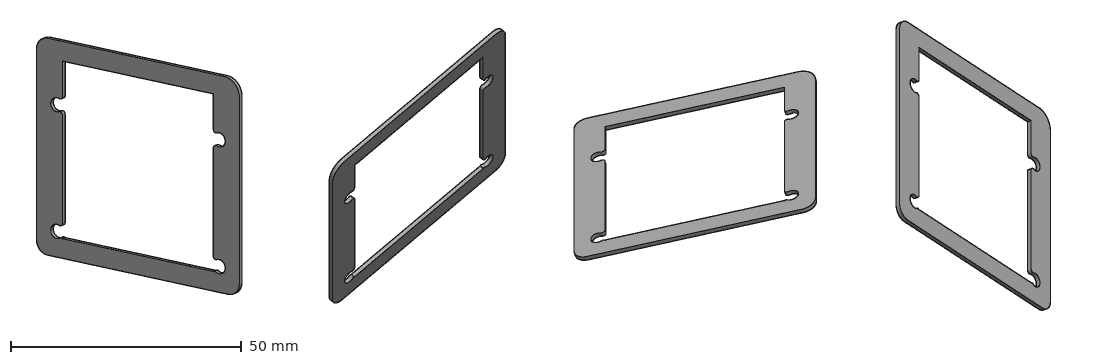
import cadquery as cq
import math

width = 54.3
height = 49.3
thickness = 1.0
corner_radius = 3.0
large_corner_radius = 4.0

window_size = 40.3
window_half = window_size / 2

notch_radius = 1.6
notch_x = 21.72
upper_notch_z = 10.0
lower_notch_z = -18.8

wall_lip_radius = 0.7
floor_lip_radius = 0.4


def y_prism(outline):
    """Extrude a closed XZ outline through the full thickness, centred on Y."""
    return outline.extrude(thickness / 2, both=True)


def make_plate():
    plate = y_prism(cq.Workplane("XZ").rect(width, height))
    plate = plate.edges("|Y").edges("<X or (>X and <Z)").fillet(corner_radius)
    top_right = cq.selectors.NearestToPointSelector((width / 2, 0, height / 2))
    return plate.edges("|Y").edges(top_right).fillet(large_corner_radius)


def make_window():
    return y_prism(cq.Workplane("XZ").rect(window_size, window_size))


def lip_points(radius):
    """Start, middle and end of a lip arc tangent to the notch and to the window wall.

    Each point is (distance toward the window, height), measured from the notch centre.
    """
    wall = notch_x - window_half
    center_distance = notch_radius + radius
    center_in = wall - radius
    center_up = math.sqrt(center_distance**2 - center_in**2)

    notch_share = notch_radius / center_distance
    on_notch = (center_in * notch_share, center_up * notch_share)
    on_wall = (wall, center_up)

    middle_angle = math.atan2(-center_up, -center_in) / 2
    middle = (
        center_in + radius * math.cos(middle_angle),
        center_up + radius * math.sin(middle_angle),
    )
    return on_notch, middle, on_wall


def make_neck(side, center_z, lower_lip_radius):
    """Passage from a notch to the window, between its upper and lower lips."""

    def place(point, up):
        return (side * (notch_x - point[0]), center_z + up * point[1])

    upper_start, upper_middle, upper_end = [place(p, 1) for p in lip_points(wall_lip_radius)]
    lower_start, lower_middle, lower_end = [place(p, -1) for p in lip_points(lower_lip_radius)]
    outline = (
        cq.Workplane("XZ")
        .moveTo(side * notch_x, center_z)
        .lineTo(*upper_start)
        .threePointArc(upper_middle, upper_end)
        .lineTo(*lower_end)
        .threePointArc(lower_middle, lower_start)
        .close()
    )
    above_floor = y_prism(cq.Workplane("XZ").center(0, height / 2 - window_half).rect(width, height))
    return y_prism(outline).intersect(above_floor)


def make_notch(side, center_z, lower_lip_radius):
    hole = y_prism(cq.Workplane("XZ").center(side * notch_x, center_z).circle(notch_radius))
    return hole.union(make_neck(side, center_z, lower_lip_radius))


frame = make_plate().cut(make_window())
for notch_side in (-1, 1):
    frame = frame.cut(make_notch(notch_side, upper_notch_z, wall_lip_radius))
    frame = frame.cut(make_notch(notch_side, lower_notch_z, floor_lip_radius))
result = frame.solids()